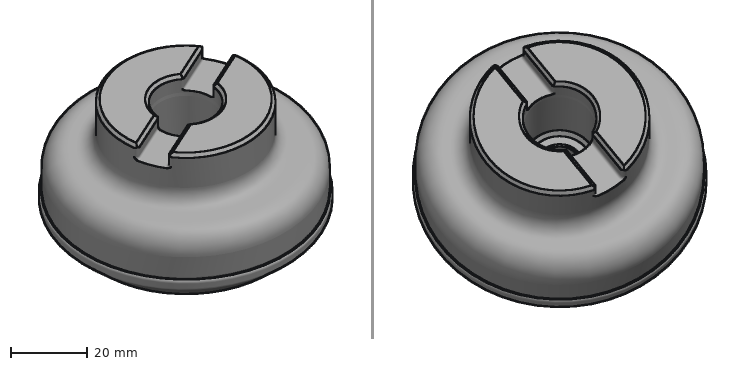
import cadquery as cq
import math

TOTAL_HEIGHT = 40.0
BASE_RADIUS = 38.45
HOUSING_RADIUS = 75.5 / 2
HUB_RADIUS = 47.0 / 2

ARC_MIDDLE = math.sqrt(0.5)

JOINT_HEIGHT = 9.8
CONE_HEIGHT = 6.45
BAND_HEIGHT = 1.6
RIM_BLEND = 1.0
BLEND_HEIGHT = RIM_BLEND * ARC_MIDDLE
BLEND_WIDTH = RIM_BLEND - BLEND_HEIGHT
BAND_BOTTOM = CONE_HEIGHT + BLEND_HEIGHT
BAND_TOP = BAND_BOTTOM + BAND_HEIGHT
UPPER_CONE_BOTTOM = BAND_TOP + BLEND_HEIGHT
BLENDED_RADIUS = BASE_RADIUS - BLEND_WIDTH
FOOT_RADIUS = BLENDED_RADIUS - CONE_HEIGHT
BASE_TOP_RADIUS = BLENDED_RADIUS - (JOINT_HEIGHT - UPPER_CONE_BOTTOM)

HOUSING_FOOT_BEVEL_WIDTH = 0.15
HOUSING_FOOT_BEVEL_HEIGHT = 0.6
SHOULDER_HEIGHT = 24.0
SHOULDER_ROUND = 6.9
HUB_FILLET = 4.9
TOP_CHAMFER = 1.0

BORE_RADIUS = 19.2 / 2
LOWER_BORE_RADIUS = 19.1 / 2
BORE_TAPER_TOP = 34.45
BORE_TAPER_HEIGHT = 1.1
BORE_FLOOR = 15.4
FLOOR_BEVEL = 1.15
SCREW_HOLE_RADIUS = 11.0 / 2
SCREW_HOLE_CHAMFER = 0.45

SLOT_HALF_WIDTH = 4.15
SLOT_DEPTH = 4.85
SLOT_FLOOR = TOTAL_HEIGHT - SLOT_DEPTH
SLOT_END_ROUND = 1.0
SLOT_FLOOR_FILLET = 0.8
SLOT_EXIT = 0.8


def revolve_profile(profile):
    """Turn a closed (radius, height) profile about the Z axis."""
    return profile.close().revolve(360, (0, 0, 0), (0, 1, 0))


def make_base():
    profile = (
        cq.Workplane("XZ")
        .moveTo(SCREW_HOLE_RADIUS, 0)
        .lineTo(FOOT_RADIUS, 0)
        .lineTo(BLENDED_RADIUS, CONE_HEIGHT)
        .radiusArc((BASE_RADIUS, BAND_BOTTOM), -RIM_BLEND)
        .lineTo(BASE_RADIUS, BAND_TOP)
        .radiusArc((BLENDED_RADIUS, UPPER_CONE_BOTTOM), -RIM_BLEND)
        .lineTo(BASE_TOP_RADIUS, JOINT_HEIGHT)
        .lineTo(SCREW_HOLE_RADIUS, JOINT_HEIGHT)
    )
    return revolve_profile(profile)


def make_turned_housing():
    """Housing before the slot is cut, with its bore and screw hole."""
    shoulder_radius = HOUSING_RADIUS - SHOULDER_ROUND
    shoulder_start = SHOULDER_HEIGHT - SHOULDER_ROUND
    fillet_radius = HUB_RADIUS + HUB_FILLET
    fillet_top = SHOULDER_HEIGHT + HUB_FILLET
    profile = (
        cq.Workplane("XZ")
        .moveTo(SCREW_HOLE_RADIUS, JOINT_HEIGHT)
        .lineTo(HOUSING_RADIUS - HOUSING_FOOT_BEVEL_WIDTH, JOINT_HEIGHT)
        .lineTo(HOUSING_RADIUS, JOINT_HEIGHT + HOUSING_FOOT_BEVEL_HEIGHT)
        .lineTo(HOUSING_RADIUS, shoulder_start)
        .threePointArc(
            (
                shoulder_radius + SHOULDER_ROUND * ARC_MIDDLE,
                shoulder_start + SHOULDER_ROUND * ARC_MIDDLE,
            ),
            (shoulder_radius, SHOULDER_HEIGHT),
        )
        .lineTo(fillet_radius, SHOULDER_HEIGHT)
        .threePointArc(
            (fillet_radius - HUB_FILLET * ARC_MIDDLE, fillet_top - HUB_FILLET * ARC_MIDDLE),
            (HUB_RADIUS, fillet_top),
        )
        .lineTo(HUB_RADIUS, TOTAL_HEIGHT - TOP_CHAMFER)
        .lineTo(HUB_RADIUS - TOP_CHAMFER, TOTAL_HEIGHT)
        .lineTo(BORE_RADIUS + TOP_CHAMFER, TOTAL_HEIGHT)
        .lineTo(BORE_RADIUS, TOTAL_HEIGHT - TOP_CHAMFER)
        .lineTo(BORE_RADIUS, BORE_TAPER_TOP)
        .lineTo(LOWER_BORE_RADIUS, BORE_TAPER_TOP - BORE_TAPER_HEIGHT)
        .lineTo(LOWER_BORE_RADIUS, BORE_FLOOR + FLOOR_BEVEL)
        .lineTo(LOWER_BORE_RADIUS - FLOOR_BEVEL, BORE_FLOOR)
        .lineTo(SCREW_HOLE_RADIUS + SCREW_HOLE_CHAMFER, BORE_FLOOR)
        .lineTo(SCREW_HOLE_RADIUS, BORE_FLOOR - SCREW_HOLE_CHAMFER)
    )
    return revolve_profile(profile)


def make_slot_arm():
    """Cutter for the half of the slot on +Y, flared where it meets the bore and the rim."""
    flare_x = SLOT_HALF_WIDTH + SLOT_END_ROUND
    outer_distance = HUB_RADIUS - SLOT_END_ROUND
    inner_distance = BORE_RADIUS + SLOT_END_ROUND
    outer_y = math.sqrt(outer_distance**2 - flare_x**2)
    inner_y = math.sqrt(inner_distance**2 - flare_x**2)
    rim_x = flare_x * HUB_RADIUS / outer_distance
    rim_y = outer_y * HUB_RADIUS / outer_distance
    bore_x = flare_x * BORE_RADIUS / inner_distance
    bore_y = inner_y * BORE_RADIUS / inner_distance
    exit_x = rim_x + SLOT_EXIT
    exit_y = rim_y - SLOT_EXIT * rim_x / rim_y
    arm = (
        cq.Workplane("XY", origin=(0, 0, SLOT_FLOOR))
        .moveTo(-bore_x, bore_y)
        .lineTo(bore_x, bore_y)
        .radiusArc((SLOT_HALF_WIDTH, inner_y), SLOT_END_ROUND)
        .lineTo(SLOT_HALF_WIDTH, outer_y)
        .radiusArc((rim_x, rim_y), SLOT_END_ROUND)
        .lineTo(exit_x, exit_y)
        .lineTo(exit_x, HUB_RADIUS + SLOT_EXIT)
        .lineTo(-exit_x, HUB_RADIUS + SLOT_EXIT)
        .lineTo(-exit_x, exit_y)
        .lineTo(-rim_x, rim_y)
        .radiusArc((-SLOT_HALF_WIDTH, outer_y), SLOT_END_ROUND)
        .lineTo(-SLOT_HALF_WIDTH, inner_y)
        .radiusArc((-bore_x, bore_y), SLOT_END_ROUND)
        .close()
        .extrude(SLOT_DEPTH)
    )
    floor_edges = cq.selectors.BoxSelector(
        (-rim_x, 0, SLOT_FLOOR - SLOT_FLOOR_FILLET),
        (rim_x, HUB_RADIUS, SLOT_FLOOR + SLOT_FLOOR_FILLET),
    )
    return arm.edges(floor_edges).edges("|Y").fillet(SLOT_FLOOR_FILLET)


def cut_slot(housing):
    """Cut both arms of the slot and bevel its mouth."""
    mouth = (
        cq.Workplane("XZ", origin=(0, BASE_RADIUS, 0))
        .moveTo(-SLOT_HALF_WIDTH, TOTAL_HEIGHT - TOP_CHAMFER)
        .lineTo(SLOT_HALF_WIDTH, TOTAL_HEIGHT - TOP_CHAMFER)
        .lineTo(SLOT_HALF_WIDTH + TOP_CHAMFER, TOTAL_HEIGHT)
        .lineTo(-SLOT_HALF_WIDTH - TOP_CHAMFER, TOTAL_HEIGHT)
        .close()
        .extrude(2 * BASE_RADIUS)
    )
    for angle in (0, 180):
        arm = make_slot_arm().rotate((0, 0, 0), (0, 0, 1), angle)
        housing = housing.cut(arm)
    return housing.cut(mouth)


base = make_base()
housing = cut_slot(make_turned_housing())
result = cq.Compound.makeCompound([base.val(), housing.solids().val()])